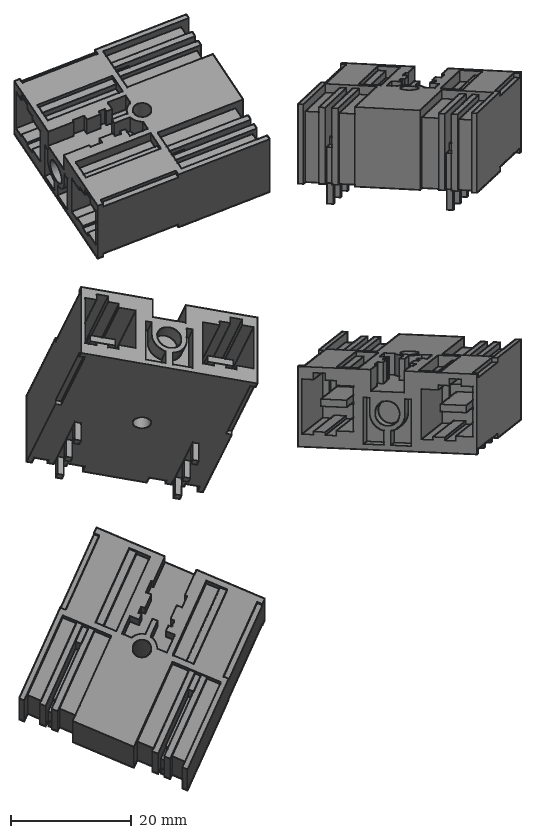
import cadquery as cq


WIDTH = 30.45
LENGTH = 32.0
HEIGHT = 13.55
WALL = 1.05
CHAMBER_END = 15.0
REAR_START = CHAMBER_END + WALL

SOCKET_X = 10.18
CONTACT_Z = 6.72
SIDES = (-1, 1)

SOCKET_HALF = 4.4
KEY_OUTER = 2.4
KEY_INNER = 0.4
SHOULDER = 1.47
KEY_TOP = HEIGHT - 0.95
OUTER_CEILING = HEIGHT - 2.1
INNER_CEILING = HEIGHT - 2.9
LOW_FLOOR = 2.15
RIB_FLOOR = 2.65
HIGH_FLOOR = 2.95
SEAT_WIDTH = 6.43
SEAT_HEIGHT = 4.13
SEAT_DEPTH = WALL

BLADE_WIDTH = 4.4
BLADE_THICKNESS = 1.2
BLADE_FRONT = 4.48
PLATE_THICKNESS = 1.1
PLATE_FRONT = 18.98
PLATE_REAR = 30.27
STEP_LENGTH = 2.0
PIN_LENGTH = 3.55
PIN_SIZE = 1.12
PIN_PITCH = 5.05
PIN_COUNT = 3
LAST_PIN_Y = 29.65

BAY_OUTER = 14.3
BAY_INNER = 5.55
LEDGE_DROP = 1.5
LEDGE_END = 30.55
RIB_END = 31.35
RIB_THICKNESS = 1.1
RIB_DROP = 0.5

POCKET_INNER = 5.1
POCKET_OUTER = 8.85
POCKET_STEP = 7.52
POCKET_DEEP = 1.92
POCKET_SHALLOW = 0.75

REBATE_WIDTH = 0.95
REBATE_HEIGHT = 0.75

RECESS_DEPTH = 3.6
RECESS_STRETCHES = (
    (4.77, 2.85),
    (6.9, 3.25),
    (9.47, 2.3),
    (10.62, 3.0),
    (11.68, 2.43),
    (CHAMBER_END, 4.05),
)
POST_Y = 16.03
POST_RADIUS = 2.53
POST_HOLE_DIAMETER = 3.07
FIN_THICKNESS = 0.93
FIN_FRONT = 10.62

BORE_Z = 6.27
BORE_DEPTH = 2.5
BORE_DIAMETER = 4.2
BORE_SLEEVE_RADIUS = 3.0
HOLLOW_HALF = 4.05
HOLLOW_BOTTOM = 0.93
HOLLOW_TOP = 8.8
HOLLOW_WEB = 1.2


def block(x_range, y_range, z_range):
    """Box between two X, two Y and two Z limits, each pair in either order."""
    (x0, x1), (y0, y1), (z0, z1) = (sorted(pair) for pair in (x_range, y_range, z_range))
    return cq.Workplane("XY").box(x1 - x0, y1 - y0, z1 - z0, centered=False).translate((x0, y0, z0))


def centred(middle, size):
    """Limits of a span of the given size about its middle."""
    return (middle - size / 2, middle + size / 2)


def front_cylinder(radius, depth):
    """Cylinder on the screw axis, running rearward from the mating face."""
    return cq.Workplane("XZ").center(0, BORE_Z).circle(radius).extrude(-depth)


def socket_cavity(side):
    """Keyed cavity: the ceilings mirror from side to side, the floors do not."""
    middle = side * SOCKET_X
    ceiling = [
        (-SOCKET_HALF, OUTER_CEILING),
        (-KEY_OUTER, OUTER_CEILING),
        (-KEY_OUTER, KEY_TOP),
        (-KEY_INNER, KEY_TOP),
        (-KEY_INNER, OUTER_CEILING),
        (SHOULDER, OUTER_CEILING),
        (SHOULDER, INNER_CEILING),
        (SOCKET_HALF, INNER_CEILING),
    ]
    if side > 0:
        ceiling = [(-x, z) for x, z in reversed(ceiling)]
    floor = [
        (SOCKET_HALF, HIGH_FLOOR),
        (SHOULDER, HIGH_FLOOR),
        (SHOULDER, LOW_FLOOR),
        (-KEY_INNER, LOW_FLOOR),
        (-KEY_INNER, RIB_FLOOR),
        (-KEY_OUTER, RIB_FLOOR),
        (-KEY_OUTER, LOW_FLOOR),
        (-SOCKET_HALF, LOW_FLOOR),
    ]
    outline = [(middle + x, z) for x, z in ceiling + floor]
    cavity = cq.Workplane("XZ").polyline(outline).close().extrude(-CHAMBER_END)
    seat = block(
        centred(middle, SEAT_WIDTH),
        (CHAMBER_END, CHAMBER_END + SEAT_DEPTH),
        centred(CONTACT_Z, SEAT_HEIGHT),
    )
    return cavity.union(seat)


def blade(side):
    """Flat blade of a contact, reaching from the socket to the plate."""
    return block(
        centred(side * SOCKET_X, BLADE_WIDTH),
        (BLADE_FRONT, PLATE_FRONT),
        centred(CONTACT_Z, BLADE_THICKNESS),
    )


def rear_bay(side):
    """Material removed for a rear bay, leaving a ledge and two ribs with a slot between them."""
    middle = side * SOCKET_X
    bay_x = (side * BAY_INNER, side * BAY_OUTER)
    bay = block(bay_x, (REAR_START, LENGTH), (HEIGHT - LEDGE_DROP, HEIGHT))
    bay = bay.union(block(bay_x, (LEDGE_END, LENGTH), (0, HEIGHT)))
    rib_offset = (PLATE_THICKNESS + RIB_THICKNESS) / 2
    for rib_x in (middle - rib_offset, middle + rib_offset):
        rib = block(centred(rib_x, RIB_THICKNESS), (REAR_START, RIB_END), (0, HEIGHT - RIB_DROP))
        bay = bay.cut(rib)
    slot = block(centred(middle, PLATE_THICKNESS), (PLATE_FRONT, LENGTH), (0, HEIGHT))
    return bay.union(slot)


def top_pocket(side):
    """Blind two-level pocket in the top."""
    pocket_y = (WALL, CHAMBER_END)
    deep = block((side * POCKET_INNER, side * POCKET_STEP), pocket_y, (HEIGHT - POCKET_DEEP, HEIGHT))
    shallow = block((side * POCKET_STEP, side * POCKET_OUTER), pocket_y, (HEIGHT - POCKET_SHALLOW, HEIGHT))
    return deep.union(shallow)


def edge_rebates(side):
    """Rebates along the upper and lower long edges of one side."""
    rebate_x = (side * (WIDTH / 2 - REBATE_WIDTH), side * WIDTH / 2)
    upper = block(rebate_x, (WALL, CHAMBER_END), (HEIGHT - REBATE_HEIGHT, HEIGHT))
    lower = block(rebate_x, (WALL, CHAMBER_END), (0, REBATE_HEIGHT))
    return upper.union(lower)


def middle_recess():
    """Stepped recess in the top, less the round post and its fin."""
    recess_z = (HEIGHT - RECESS_DEPTH, HEIGHT)
    recess = cq.Workplane("XY")
    start = 0
    for end, half_width in RECESS_STRETCHES:
        recess = recess.union(block((-half_width, half_width), (start, end), recess_z))
        start = end
    post = cq.Workplane("XY").center(0, POST_Y).circle(POST_RADIUS).extrude(HEIGHT)
    fin = block(centred(0, FIN_THICKNESS), (FIN_FRONT, POST_Y), recess_z)
    return recess.cut(post).cut(fin)


def bore_hollows():
    """Two hollows beside the screw bore, parted by its sleeve and the web below it."""
    hollow_y = (0, BORE_DEPTH)
    hollows = block((-HOLLOW_HALF, HOLLOW_HALF), hollow_y, (HOLLOW_BOTTOM, HOLLOW_TOP))
    sleeve = front_cylinder(BORE_SLEEVE_RADIUS, BORE_DEPTH)
    bridge = block((-BORE_SLEEVE_RADIUS, BORE_SLEEVE_RADIUS), hollow_y, (BORE_Z, HOLLOW_TOP))
    web = block(centred(0, HOLLOW_WEB), hollow_y, (HOLLOW_BOTTOM, BORE_Z))
    return hollows.cut(sleeve).cut(bridge).cut(web)


def make_housing():
    """Insulating housing with every opening cut from one block."""
    housing = block(centred(0, WIDTH), (0, LENGTH), (0, HEIGHT))
    for side in SIDES:
        housing = housing.cut(socket_cavity(side))
        housing = housing.cut(blade(side))
        housing = housing.cut(rear_bay(side))
        housing = housing.cut(top_pocket(side))
        housing = housing.cut(edge_rebates(side))
    housing = housing.cut(middle_recess())
    housing = housing.cut(bore_hollows())
    housing = housing.cut(front_cylinder(BORE_DIAMETER / 2, BORE_DEPTH))
    post_hole = cq.Workplane("XY").center(0, POST_Y).circle(POST_HOLE_DIAMETER / 2).extrude(HEIGHT)
    return housing.cut(post_hole)


def make_contact(side):
    """Contact: a flat blade, an upright plate in the rear slot and a row of solder pins."""
    plate_x = centred(side * SOCKET_X, PLATE_THICKNESS)
    blade_bottom, blade_top = centred(CONTACT_Z, BLADE_THICKNESS)
    step_y = PLATE_REAR - STEP_LENGTH
    contact = blade(side)
    contact = contact.union(block(plate_x, (PLATE_FRONT, step_y), (0, blade_top)))
    contact = contact.union(block(plate_x, (step_y, PLATE_REAR), (0, blade_bottom)))
    for number in range(PIN_COUNT):
        pin_y = centred(LAST_PIN_Y - number * PIN_PITCH, PIN_SIZE)
        contact = contact.union(block(plate_x, pin_y, (-PIN_LENGTH, 0)))
    return contact


housing = make_housing()
contacts = [make_contact(side) for side in SIDES]
result = cq.Compound.makeCompound([housing.val(), *[contact.val() for contact in contacts]])